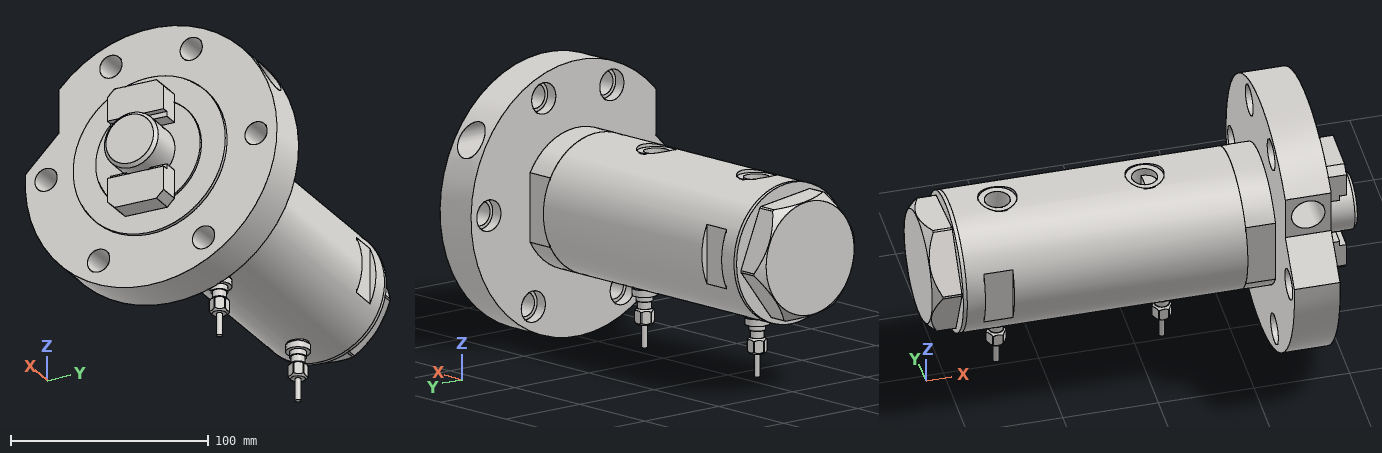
import cadquery as cq
import math


cap_hex_end = 14.5
tube_start = 16.5
cap_stem_end = 42.4
gland_start = 118.2
tube_end = 163.3
flange_start = 179.0
flange_end = 203.0
pilot_end = 205.0
gland_end = 206.4
flat_end = 216.5
rod_end = 226.5

cap_flats = 59.8
cap_corner_radius = 34.2
cap_face_radius = 29.7
cap_hex_tilt = -7.5

bore_radius = 25.5
tube_radius = 37.0
gland_seat_radius = 31.5
wrench_start = 26.0
wrench_end = 41.2
wrench_half_width = 33.5
port_stations = (41.5, 118.5)
port_radius = 6.5
spotface_radius = 10.0
spotface_height = 35.0

gland_flat_half_width = 32.2
gland_spigot_radius = 30.0

flange_radius = 72.0
pilot_radius = 43.5
notch_depth_y = 52.8
notch_corner_z = 24.7
cross_hole_diameter = 17.5
cross_hole_z = 37.4
bolt_circle_radius = 60.0
bolt_angles = (0, 67.5, 112.5, 180, 240, 300)
bolt_radius = 6.3
counterbore_radius = 8.2
counterbore_depth = 6.3

rod_radius = 15.5
piston_radius = 23.5
piston_end = (cap_stem_end + gland_start) / 2
rod_flat_height = 13.4
rod_chamfer = 1.8

key_start = 208.2
key_end = 220.2
key_half_width = 16.0
key_top = 33.3
key_chamfer = 4.0
key_step_height = 16.0

sensor_stations = (40.8, 127.5)
stem_top = -31.7
stem_radius = 5.7
collar_top = -37.8
collar_bottom = -41.5
collar_radius = 6.3
shoulder_bottom = -44.5
shoulder_radius = 4.3
waist_bottom = -48.2
waist_radius = 3.6
nut_bottom = -56.6
nut_flats = 9.3
nut_corner_radius = 5.2
nut_chamfer = 1.4
cable_bottom = -68.9
cable_radius = 1.5


def disc(start, end, radius):
    """Cylinder along X from one station to another."""
    return cq.Workplane("YZ", origin=(start, 0, 0)).circle(radius).extrude(end - start)


def upright(bottom, top, radius, x=0.0):
    """Cylinder along Z at a station on the axis."""
    return cq.Workplane("XY", origin=(x, 0, bottom)).circle(radius).extrude(top - bottom)


def box(x_range, y_range, z_range):
    """Box between the given pairs of limits."""
    sizes = [high - low for low, high in (x_range, y_range, z_range)]
    corner = (x_range[0], y_range[0], z_range[0])
    return cq.Workplane("XY", origin=corner).box(*sizes, centered=False)


def side_flats(start, end, half_width):
    """Two blocks that cut flats on the +Y and -Y sides of the tube radius."""
    height = (-tube_radius, tube_radius)
    outside = 2 * tube_radius
    left = box((start, end), (half_width, outside), height)
    right = box((start, end), (-outside, -half_width), height)
    return left.union(right)


def make_cap():
    corner_circle = cap_flats / math.cos(math.pi / 6)
    head = (
        cq.Workplane("YZ")
        .transformed(rotate=(0, 0, cap_hex_tilt))
        .polygon(6, corner_circle)
        .extrude(cap_hex_end)
    )
    bevel = cap_corner_radius - cap_face_radius
    head = head.intersect(disc(0, cap_hex_end, cap_corner_radius).faces("<X").chamfer(bevel))
    collar = disc(cap_hex_end, tube_start, tube_radius)
    stem = disc(tube_start, cap_stem_end, bore_radius)
    return head.union(collar).union(stem)


def make_tube():
    tube = disc(tube_start, tube_end, tube_radius)
    tube = tube.cut(disc(tube_start, gland_start, bore_radius))
    tube = tube.cut(disc(gland_start, tube_end, gland_seat_radius))
    tube = tube.cut(side_flats(wrench_start, wrench_end, wrench_half_width))
    for x in port_stations:
        tube = tube.cut(upright(spotface_height, tube_radius, spotface_radius, x))
        tube = tube.cut(upright(0, tube_radius, port_radius, x))
    for x in sensor_stations:
        tube = tube.cut(upright(-tube_radius, stem_top, stem_radius, x))
    return tube


def make_gland():
    neck = disc(tube_end, flange_start, tube_radius)
    neck = neck.cut(side_flats(tube_end, flange_start, gland_flat_half_width))
    spigot = disc(flange_start, gland_end, gland_spigot_radius)
    insert = disc(gland_start, tube_end, gland_seat_radius)
    gland = neck.union(spigot).union(insert)
    return gland.cut(disc(gland_start, gland_end, rod_radius))


def make_flange():
    flange = disc(flange_start, flange_end, flange_radius)
    flange = flange.union(disc(flange_end, pilot_end, pilot_radius))
    flange = flange.cut(disc(flange_start, pilot_end, gland_spigot_radius))

    reach = flange_radius
    notch = (
        cq.Workplane("YZ", origin=(flange_start, 0, 0))
        .moveTo(-notch_depth_y, notch_corner_z)
        .lineTo(-notch_depth_y, notch_corner_z + reach)
        .lineTo(-notch_depth_y - reach, notch_corner_z + reach)
        .lineTo(-notch_depth_y - reach, notch_corner_z - reach)
        .close()
        .extrude(flange_end - flange_start)
    )
    flange = flange.cut(notch)

    middle = (flange_start + flange_end) / 2
    cross_hole = (
        cq.Workplane("XZ", origin=(middle, 0, cross_hole_z))
        .circle(cross_hole_diameter / 2)
        .extrude(flange_radius, both=True)
    )
    flange = flange.cut(cross_hole)

    for angle in bolt_angles:
        turn = math.radians(angle)
        place = (0, bolt_circle_radius * math.cos(turn), bolt_circle_radius * math.sin(turn))
        flange = flange.cut(disc(flange_start, flange_end, bolt_radius).translate(place))
        seat = disc(flange_start, flange_start + counterbore_depth, counterbore_radius)
        flange = flange.cut(seat.translate(place))
    return flange


def make_rod():
    shank = disc(piston_end, rod_end, rod_radius).faces(">X").chamfer(rod_chamfer)
    for low, high in ((rod_flat_height, rod_radius), (-rod_radius, -rod_flat_height)):
        shank = shank.cut(box((gland_end, flat_end), (-rod_radius, rod_radius), (low, high)))
    return shank.union(disc(cap_stem_end, piston_end, piston_radius))


def make_key(turn):
    """Key on the upper rod flat, turned about the axis to its own flat."""
    width = (-key_half_width, key_half_width)
    key = box((key_start, key_end), width, (rod_flat_height, key_top))
    key = key.edges("|X and >Z").chamfer(key_chamfer)
    key = key.cut(box((flat_end, key_end), width, (rod_flat_height, key_step_height)))
    return key.rotate((0, 0, 0), (1, 0, 0), turn)


def make_sensor(x):
    sensor = upright(collar_top, stem_top, stem_radius)
    sensor = sensor.union(upright(collar_bottom, collar_top, collar_radius))
    sensor = sensor.union(upright(shoulder_bottom, collar_bottom, shoulder_radius))
    sensor = sensor.union(upright(waist_bottom, shoulder_bottom, waist_radius))
    corner_circle = nut_flats / math.cos(math.pi / 6)
    nut = (
        cq.Workplane("XY", origin=(0, 0, nut_bottom))
        .polygon(6, corner_circle)
        .extrude(waist_bottom - nut_bottom)
    )
    envelope = upright(nut_bottom, waist_bottom, nut_corner_radius)
    nut = nut.intersect(envelope.faces("<Z or >Z").chamfer(nut_chamfer))
    sensor = sensor.union(nut).union(upright(cable_bottom, nut_bottom, cable_radius))
    return sensor.translate((x, 0, 0))


cap = make_cap()
tube = make_tube()
gland = make_gland()
flange = make_flange()
rod = make_rod()
keys = [make_key(turn).val() for turn in (0, 180)]
sensors = [make_sensor(x).val() for x in sensor_stations]

result = cq.Compound.makeCompound(
    [cap.val(), tube.val(), gland.val(), flange.val(), rod.val(), *keys, *sensors]
)